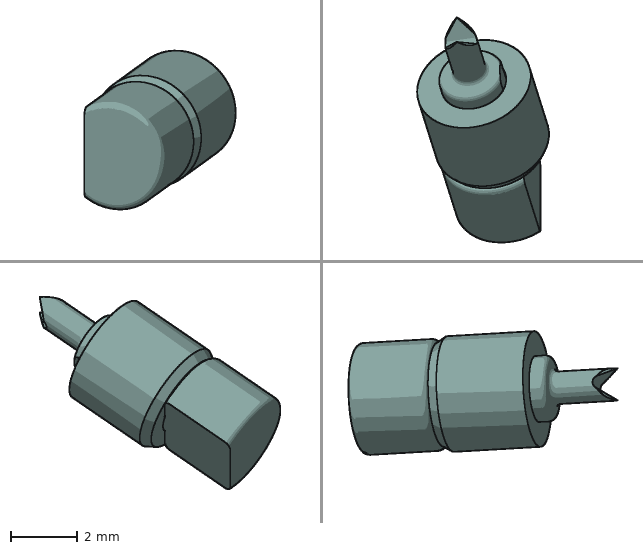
import cadquery as cq
import math

total_length = 8.0
head_length = 2.5
sleeve_length = 3.0
shaft_end = 6.0

sleeve_radius = 1.75
bore_radius = 1.0
sleeve_chamfer_length = 0.3
sleeve_chamfer_depth = sleeve_chamfer_length * math.tan(math.radians(30))

head_radius = 1.7
shaft_radius = bore_radius
tip_radius = 0.5
round_radius = 0.2
flat_offset = 0.9

roof_slope = 1.15
notch_half_angle = math.radians(30)
notch_round = 0.2
roof_drop = roof_slope * tip_radius


def revolve_about_y(outline):
    return outline.close().revolve(360, (0, 0, 0), (0, 1, 0))


def make_sleeve():
    """Plain bored sleeve with a chamfer at the head end."""
    sleeve_end = head_length + sleeve_length
    profile = (
        cq.Workplane("XY")
        .moveTo(bore_radius, head_length)
        .lineTo(sleeve_radius - sleeve_chamfer_depth, head_length)
        .lineTo(sleeve_radius, head_length + sleeve_chamfer_length)
        .lineTo(sleeve_radius, sleeve_end)
        .lineTo(bore_radius, sleeve_end)
    )
    return revolve_about_y(profile)


def make_turned_pin():
    """Rounded head, shaft and rod, with the rod end still square."""
    profile = (
        cq.Workplane("XY")
        .lineTo(head_radius - round_radius, 0)
        .radiusArc((head_radius, round_radius), -round_radius)
        .lineTo(head_radius, head_length - round_radius)
        .radiusArc((head_radius - round_radius, head_length), -round_radius)
        .lineTo(shaft_radius, head_length)
        .lineTo(shaft_radius, shaft_end - round_radius)
        .radiusArc((shaft_radius - round_radius, shaft_end), -round_radius)
        .lineTo(tip_radius + round_radius, shaft_end)
        .radiusArc((tip_radius, shaft_end + round_radius), round_radius)
        .lineTo(tip_radius, total_length)
        .lineTo(0, total_length)
    )
    return revolve_about_y(profile)


def make_flat_cutter():
    """Block that leaves one flat along the head and the shaft."""
    width = head_radius - flat_offset
    block = cq.Workplane("XY").box(width, shaft_end, 2 * head_radius, centered=(False, False, True))
    return block.translate((-head_radius, 0, 0))


def make_roof_cutter(side):
    """Prism that slopes the rod end down on the +X or -X side."""
    return (
        cq.Workplane("XY")
        .moveTo(0, total_length)
        .lineTo(side * tip_radius, total_length)
        .lineTo(side * tip_radius, total_length - roof_drop)
        .close()
        .extrude(tip_radius, both=True)
    )


def make_notch_cutter():
    """V-groove along X, open to the full rod width, with a rounded bottom."""
    depth = tip_radius / math.tan(notch_half_angle)
    sharp_bottom = total_length - depth
    round_center = sharp_bottom + notch_round / math.sin(notch_half_angle)
    tangent_y = round_center - notch_round * math.sin(notch_half_angle)
    tangent_z = notch_round * math.cos(notch_half_angle)
    return (
        cq.Workplane("YZ")
        .moveTo(total_length, tip_radius)
        .lineTo(tangent_y, tangent_z)
        .threePointArc((round_center - notch_round, 0), (tangent_y, -tangent_z))
        .lineTo(total_length, -tip_radius)
        .close()
        .extrude(tip_radius, both=True)
    )


def make_pin():
    pin = make_turned_pin().cut(make_flat_cutter())
    for side in (-1, 1):
        pin = pin.cut(make_roof_cutter(side))
    return pin.cut(make_notch_cutter())


sleeve = make_sleeve()
pin = make_pin()

result = cq.Compound.makeCompound([sleeve.val(), *pin.vals()])